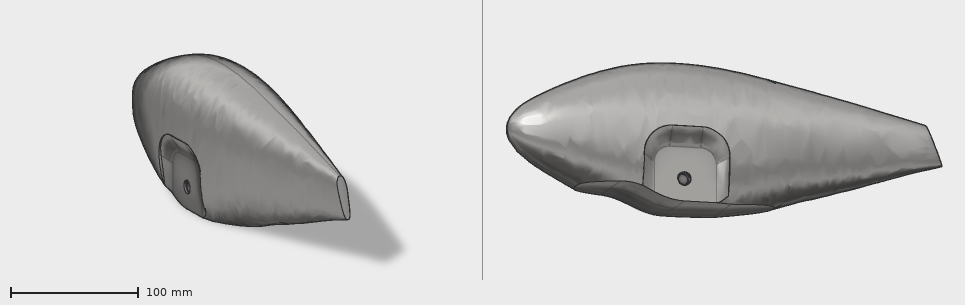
import cadquery as cq
import math


BODY_SECTIONS = [
    (0.0, 58.0, 55.0, 1.2),
    (3.0, 66.5, 47.5, 8.5),
    (10.5, 75.0, 39.0, 14.5),
    (21.0, 82.0, 31.5, 19.8),
    (42.5, 93.0, 20.0, 27.0),
    (64.0, 102.0, 9.5, 32.0),
    (96.0, 111.3, -4.0, 37.2),
    (138.5, 115.02, -15.5, 39.33),
    (181.0, 111.5, -9.0, 35.8),
    (217.5, 104.8, 4.3, 30.2),
    (256.0, 96.8, 15.8, 22.9),
    (298.5, 87.3, 28.6, 14.2),
    (341.0, 77.2, 41.6, 5.2),
    (360.0, 72.5, 47.5, 1.8),
]
CROWN_EXPONENT = 2.35
KEEL_EXPONENT = 3.0
POINTS_PER_QUARTER = 7

TAIL_LOW_X = 353.8
TAIL_LOW_Z = 45.6
TAIL_HIGH_X = 340.7
TAIL_HIGH_Z = 76.5

THROAT_START_X = 50.0
THROAT_END_X = 84.0
THROAT_Z = 13.4
FOOT_START_X = 136.0
FOOT_END_X = 175.0
HEEL_X = 217.0
HEEL_Z = 3.9

RECESS_FLOOR_Y = -30.4
RIM_TOP_Y = -38.5
RIM_FOOT_Y = -30.9
RECESS_BOTTOM_Z = -1.0
FLOOR_LEFT_X = 111.4
FLOOR_RIGHT_X = 161.8
FLOOR_TOP_Z = 43.0
FLOOR_RADIUS = 12.5
RIM_LEFT_X = 101.3
RIM_RIGHT_X = 171.3
RIM_TOP_Z = 58.4
RIM_RADIUS = 22.5
RECESS_WALL_STEPS = 5

HOLE_X = 135.9
HOLE_Z = 18.0
HOLE_DIAMETER = 8.7
HOLE_MOUTH_DIAMETER = 10.7
HOLE_DEPTH = 6.0
HOLE_MOUTH_DEPTH = 2.0

CUTTER_HALF_WIDTH = 60.0
CLEARANCE = 30.0


def half_section(x, crown, keel, half_width):
    """Closed half of a section on the -Y side: a superellipse flank and its chord at Y = 0."""
    mid_z = (crown + keel) / 2
    half_height = (crown - keel) / 2
    last = 2 * POINTS_PER_QUARTER
    points = [cq.Vector(x, 0, crown)]
    for i in range(1, last):
        angle = math.pi * i / last
        power = 2 / (CROWN_EXPONENT if i <= POINTS_PER_QUARTER else KEEL_EXPONENT)
        across = math.sin(angle) ** power
        up = math.copysign(abs(math.cos(angle)) ** power, math.cos(angle))
        points.append(cq.Vector(x, -half_width * across, mid_z + half_height * up))
    points.append(cq.Vector(x, 0, keel))
    flank = cq.Edge.makeSpline(points)
    chord = cq.Edge.makeLine(points[-1], points[0])
    return cq.Wire.assembleEdges([flank, chord])


def make_body():
    sections = [half_section(*section) for section in BODY_SECTIONS]
    near_half = cq.Workplane(cq.Solid.makeLoft(sections))
    return near_half.union(near_half.mirror("XZ"))


def cutter_across_y(outline):
    return outline.close().extrude(CUTTER_HALF_WIDTH, both=True)


def make_tail_cutter():
    run_per_rise = (TAIL_HIGH_X - TAIL_LOW_X) / (TAIL_HIGH_Z - TAIL_LOW_Z)
    low_x = TAIL_LOW_X - CLEARANCE * run_per_rise
    high_x = TAIL_HIGH_X + CLEARANCE * run_per_rise
    back_x = TAIL_LOW_X + 2 * CLEARANCE
    outline = (
        cq.Workplane("XZ")
        .moveTo(low_x, TAIL_LOW_Z - CLEARANCE)
        .lineTo(high_x, TAIL_HIGH_Z + CLEARANCE)
        .lineTo(back_x, TAIL_HIGH_Z + CLEARANCE)
        .lineTo(back_x, TAIL_LOW_Z - CLEARANCE)
    )
    return cutter_across_y(outline)


def make_underside_cutter():
    outline = (
        cq.Workplane("XZ")
        .moveTo(THROAT_START_X, THROAT_Z)
        .lineTo(THROAT_END_X, THROAT_Z)
        .spline([(FOOT_START_X, 0)], tangents=[(1, 0), (1, 0)], includeCurrent=True)
        .lineTo(FOOT_END_X, 0)
        .lineTo(HEEL_X, HEEL_Z)
        .lineTo(HEEL_X, -CLEARANCE)
        .lineTo(THROAT_START_X, -CLEARANCE)
    )
    return cutter_across_y(outline)


def arch_wire(left, right, top, radius, y_at_top, y_at_foot):
    """Upright arch with rounded shoulders, on a plane leaning from y_at_top down to y_at_foot at Z = 0."""
    def on_plane(x, z):
        share = z / RIM_TOP_Z
        return cq.Vector(x, y_at_foot + share * (y_at_top - y_at_foot), z)

    inset = radius * (1 - math.sqrt(0.5))
    low_left = on_plane(left, RECESS_BOTTOM_Z)
    spring_left = on_plane(left, top - radius)
    shoulder_left = on_plane(left + inset, top - inset)
    crown_left = on_plane(left + radius, top)
    crown_right = on_plane(right - radius, top)
    shoulder_right = on_plane(right - inset, top - inset)
    spring_right = on_plane(right, top - radius)
    low_right = on_plane(right, RECESS_BOTTOM_Z)
    return cq.Wire.assembleEdges([
        cq.Edge.makeLine(low_left, spring_left),
        cq.Edge.makeThreePointArc(spring_left, shoulder_left, crown_left),
        cq.Edge.makeLine(crown_left, crown_right),
        cq.Edge.makeThreePointArc(crown_right, shoulder_right, spring_right),
        cq.Edge.makeLine(spring_right, low_right),
        cq.Edge.makeLine(low_right, low_left),
    ])


def recess_outline(share):
    """Outline of the recess wall, from the floor (share = 0) out to the rim (share = 1)."""
    rise = share * share * (3 - 2 * share)

    def blend(at_floor, at_rim, weight):
        return at_floor + weight * (at_rim - at_floor)

    return arch_wire(
        blend(FLOOR_LEFT_X, RIM_LEFT_X, share),
        blend(FLOOR_RIGHT_X, RIM_RIGHT_X, share),
        blend(FLOOR_TOP_Z, RIM_TOP_Z, share),
        blend(FLOOR_RADIUS, RIM_RADIUS, share),
        blend(RECESS_FLOOR_Y, RIM_TOP_Y, rise),
        blend(RECESS_FLOOR_Y, RIM_FOOT_Y, rise),
    )


def make_recess_cutter():
    outlines = [recess_outline(step / RECESS_WALL_STEPS) for step in range(RECESS_WALL_STEPS + 1)]
    wall_part = cq.Solid.makeLoft(outlines)
    outer_part = cq.Solid.extrudeLinear(outlines[-1], [], cq.Vector(0, -CLEARANCE, 0))
    return cq.Workplane(wall_part).union(cq.Workplane(outer_part))


def make_hole_cutter():
    return (
        cq.Workplane("XZ", origin=(HOLE_X, RECESS_FLOOR_Y, HOLE_Z))
        .circle(HOLE_DIAMETER / 2)
        .extrude(-HOLE_DEPTH)
        .faces("<Y")
        .workplane(offset=-HOLE_MOUTH_DEPTH)
        .circle(HOLE_MOUTH_DIAMETER / 2)
        .extrude(HOLE_MOUTH_DEPTH)
    )


result = (
    make_body()
    .cut(make_tail_cutter())
    .cut(make_underside_cutter())
    .cut(make_recess_cutter())
    .cut(make_hole_cutter())
    .clean()
)